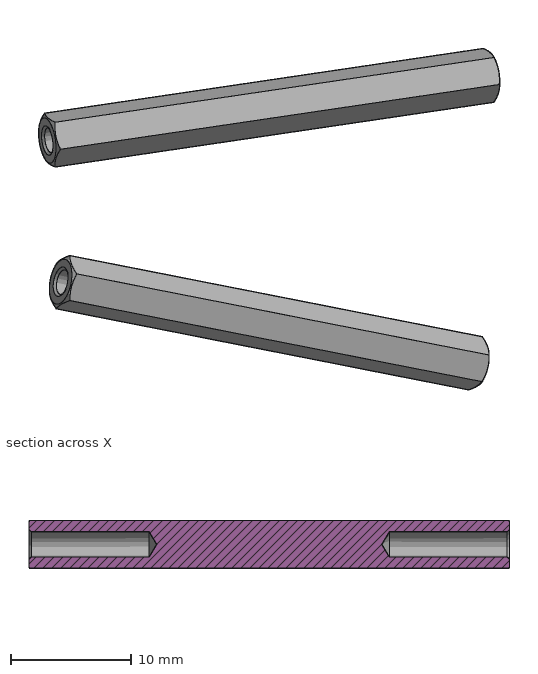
import cadquery as cq
import math

length = 40.0
across_flats = 4.0
face_diameter = 3.8
chamfer_angle = 30.0
bore_diameter = 2.1
mouth_diameter = 2.5
bore_depth = 10.0
drill_tip_angle = 118.0

across_corners = across_flats / math.cos(math.radians(30))
half_length = length / 2
face_radius = face_diameter / 2
corner_radius = across_corners / 2
envelope_radius = corner_radius + 0.4
chamfer_depth = (envelope_radius - face_radius) * math.tan(math.radians(chamfer_angle))
bore_radius = bore_diameter / 2
mouth_radius = mouth_diameter / 2
mouth_depth = mouth_radius - bore_radius
tip_depth = bore_radius / math.tan(math.radians(drill_tip_angle / 2))


def revolve_about_y(points):
    """Revolve a closed (radius, y) outline about the Y axis."""
    return cq.Workplane("XY").polyline(points).close().revolve(360, (0, 0, 0), (0, 1, 0))


def hex_bar():
    """Hexagonal bar along Y with corners on the X axis."""
    start = cq.Workplane("XZ", origin=(0, half_length, 0))
    return start.polygon(6, across_corners).extrude(length)


def chamfer_envelope():
    """Round bar with coned ends that trims the hexagon corners."""
    shoulder = half_length - chamfer_depth
    return revolve_about_y([
        (0, -half_length),
        (face_radius, -half_length),
        (envelope_radius, -shoulder),
        (envelope_radius, shoulder),
        (face_radius, half_length),
        (0, half_length),
    ])


def blind_bore():
    """Countersunk blind hole with a drill tip, entering from the -Y end."""
    return revolve_about_y([
        (0, -half_length),
        (mouth_radius, -half_length),
        (bore_radius, -half_length + mouth_depth),
        (bore_radius, -half_length + bore_depth),
        (0, -half_length + bore_depth + tip_depth),
    ])


front_bore = blind_bore()
back_bore = front_bore.mirror("XZ")
result = hex_bar().intersect(chamfer_envelope()).cut(front_bore).cut(back_bore)